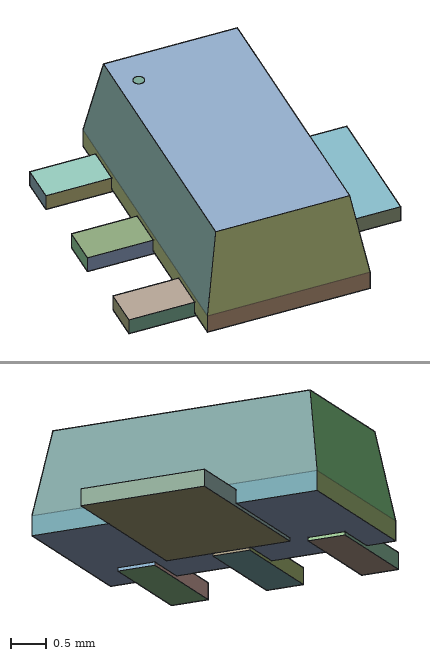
import cadquery as cq

housing_length = 4.5
housing_width = 2.5
overall_depth = 4.52
overall_height = 1.65

standoff = 0.05
band_top = 0.35
taper_inset = 0.22

metal_thickness = 0.255
lead_width = 0.585
lead_pitch = 1.5
lead_count = 3
lead_length = 1.705
tab_width = 1.95
tab_lead_gap = 0.1
tab_length = overall_depth - lead_length - tab_lead_gap

marker_diameter = 0.165
marker_depth = 0.045
marker_x = -lead_pitch
marker_y = -0.71


def make_lead(index):
    """Flat lead running inward from the front end of the package."""
    x = (index - (lead_count - 1) / 2) * lead_pitch
    return (
        cq.Workplane("XY")
        .box(lead_width, lead_length, metal_thickness, centered=(True, False, False))
        .translate((x, -overall_depth / 2, 0))
    )


def make_tab():
    """Wide heat tab running inward from the back end, clear of the leads."""
    return (
        cq.Workplane("XY")
        .box(tab_width, tab_length, metal_thickness, centered=(True, False, False))
        .translate((0, overall_depth / 2 - tab_length, 0))
    )


def make_marker():
    """Round disc whose top is level with the housing top."""
    return (
        cq.Workplane("XY", origin=(marker_x, marker_y, overall_height - marker_depth))
        .circle(marker_diameter / 2)
        .extrude(marker_depth)
    )


def make_housing(inserts):
    """Moulded block with a recess for each of the inserted bodies."""
    band = (
        cq.Workplane("XY", origin=(0, 0, standoff))
        .rect(housing_length, housing_width)
        .extrude(band_top - standoff)
    )
    tapered_block = (
        cq.Workplane("XY", origin=(0, 0, band_top))
        .rect(housing_length, housing_width)
        .workplane(offset=overall_height - band_top)
        .rect(housing_length - 2 * taper_inset, housing_width - 2 * taper_inset)
        .loft(ruled=True)
    )
    block = band.union(tapered_block)
    for insert in inserts:
        block = block.cut(insert)
    return block


leads = [make_lead(index) for index in range(lead_count)]
tab = make_tab()
marker = make_marker()
housing = make_housing([*leads, tab, marker])

result = cq.Compound.makeCompound(
    [housing.solids().val(), *[lead.val() for lead in leads], tab.val(), marker.val()]
)